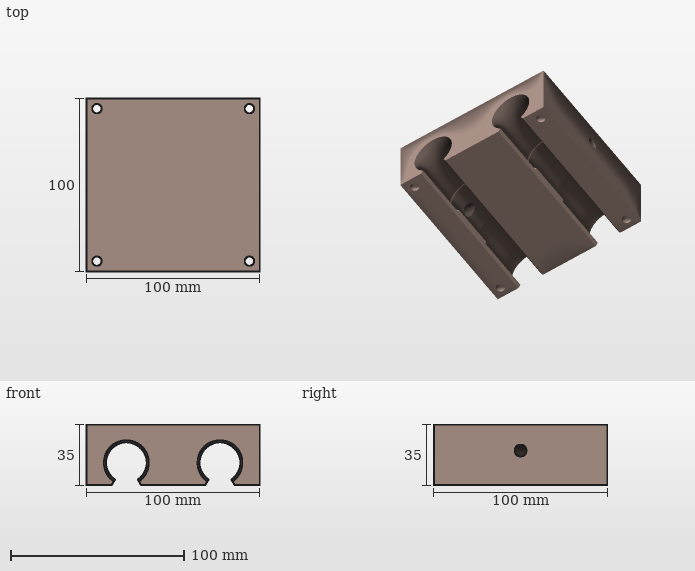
import cadquery as cq
import math

side = 100.0
height = 35.0

bore_spacing = 54.0
bore_height = 13.0
pocket_diameter = 26.0
land_diameter = 23.4
pocket_depth = 36.0

mouth_width = 17.0
mouth_lean = 31.0

corner_hole_diameter = 5.3
corner_hole_inset = 6.0
side_hole_diameter = 6.9
side_hole_height = 20.0


def cylinder_along_y(diameter, length, x, start_y):
    """Cylinder at bore height, extending from start_y toward +Y."""
    return cq.Workplane(
        cq.Solid.makeCylinder(
            diameter / 2, length, cq.Vector(x, start_y, bore_height), cq.Vector(0, 1, 0)
        )
    )


def open_bore(x):
    """Bore with a pocket at each end, a narrower land between them and a mouth below."""
    land = cylinder_along_y(land_diameter, side, x, -side / 2)
    front_pocket = cylinder_along_y(pocket_diameter, pocket_depth, x, -side / 2)
    back_pocket = cylinder_along_y(pocket_diameter, pocket_depth, x, side / 2 - pocket_depth)

    mouth_top = bore_height / 2
    half_bottom = mouth_width / 2
    half_top = half_bottom - mouth_top * math.tan(math.radians(mouth_lean))
    mouth = (
        cq.Workplane("XZ")
        .polyline([
            (x - half_bottom, 0),
            (x + half_bottom, 0),
            (x + half_top, mouth_top),
            (x - half_top, mouth_top),
        ])
        .close()
        .extrude(side / 2, both=True)
    )
    return land.union(front_pocket).union(back_pocket).union(mouth)


block = cq.Workplane("XY").box(side, side, height, centered=(True, True, False))

for bore_x in (-bore_spacing / 2, bore_spacing / 2):
    block = block.cut(open_bore(bore_x))

corner_pitch = side - 2 * corner_hole_inset
block = (
    block.faces(">Z")
    .workplane(origin=(0, 0, height))
    .rect(corner_pitch, corner_pitch, forConstruction=True)
    .vertices()
    .hole(corner_hole_diameter)
)

side_hole_depth = side / 2 - bore_spacing / 2
for direction in (-1, 1):
    side_hole = cq.Solid.makeCylinder(
        side_hole_diameter / 2,
        side_hole_depth,
        cq.Vector(direction * side / 2, 0, side_hole_height),
        cq.Vector(-direction, 0, 0),
    )
    block = block.cut(cq.Workplane(side_hole))

result = block